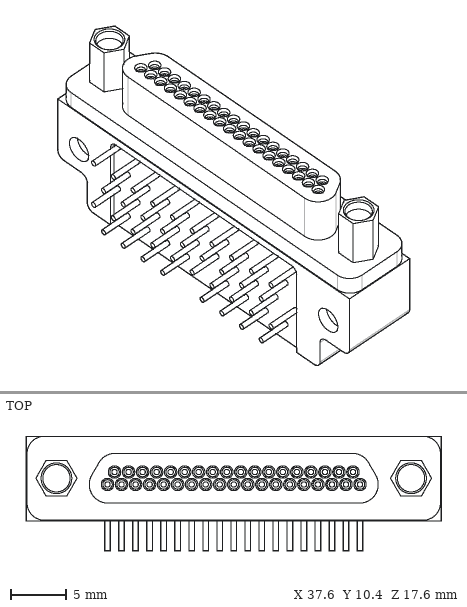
import cadquery as cq
import math

HOUSING_LENGTH = 37.6
HOUSING_TOP = 11.05
HOUSING_BACK = 3.8
HOUSING_FRONT = -3.87
LOWER_LENGTH = 30.0
EAR_BOTTOM = 4.0
HOUSING_RADIUS = 0.8

RECESS_LENGTH = 23.95
RECESS_TOP = 10.25
RECESS_DEPTH = 0.45
RECESS_RADIUS = 0.68

MOUNT_SPACING = 32.1
MOUNT_HOLE_DIAMETER = 2.48
MOUNT_HOLE_HEIGHT = 6.6
MOUNT_HOLE_DEPTH = 1.0

FLANGE_LENGTH = 37.45
FLANGE_WIDTH = 2 * HOUSING_BACK
FLANGE_TOP = 12.85
FLANGE_RADIUS = 1.58

SHELL_TOP = 17.55
SHELL_WIDTH = 4.5
SHELL_LENGTH = 26.15
SHELL_RADIUS = 1.7
SHELL_END_ANGLE = 30

SOCKET_ROW_LENGTH = 22.85
SOCKET_ROW_SPACING = 1.13
FRONT_SOCKETS = 19
SOCKET_PITCH = SOCKET_ROW_LENGTH / (FRONT_SOCKETS - 1)
SOCKET_DIAMETER = 0.85
SOCKET_CHAMFER_WIDTH = 0.13
SOCKET_CHAMFER_DEPTH = 0.3
SOCKET_DEPTH = 0.6
CONTACT_DIAMETER = 0.5
CONTACT_DEPTH = 1.0

STANDOFF_TOP = 17.65
STANDOFF_FLATS = 3.25
STANDOFF_HOLE_DIAMETER = 2.48
STANDOFF_HOLE_DEPTH = 1.0
STANDOFF_CHAMFER = 0.15

PIN_PITCH = 2 * SOCKET_PITCH
PIN_DIAMETER = 0.53
PIN_TIP = -6.58
PIN_TOP_ROW = 9.65
PIN_ROWS = 4
PINS_PER_LONG_ROW = 10

HOUSING_DEPTH = HOUSING_BACK - HOUSING_FRONT
RECESS_FACE = HOUSING_FRONT + RECESS_DEPTH
MOUNT_POSITIONS = (-MOUNT_SPACING / 2, MOUNT_SPACING / 2)


def centered_row(count, pitch):
    """Positions of count items spaced evenly about zero."""
    return [(i - (count - 1) / 2) * pitch for i in range(count)]


def front_plane(y):
    """Sketch plane at the given Y, facing -Y, with sketch axes X and Z."""
    return cq.Workplane("XZ", origin=(0, y, 0))


def top_plane(z):
    """Sketch plane at the given Z, facing up, with sketch axes X and Y."""
    return cq.Workplane("XY", origin=(0, 0, z))


def make_housing():
    upper = (
        front_plane(HOUSING_BACK)
        .center(0, (HOUSING_TOP + EAR_BOTTOM) / 2)
        .rect(HOUSING_LENGTH, HOUSING_TOP - EAR_BOTTOM)
        .extrude(HOUSING_DEPTH)
    )
    lower = (
        front_plane(HOUSING_BACK)
        .center(0, HOUSING_TOP / 2)
        .rect(LOWER_LENGTH, HOUSING_TOP)
        .extrude(HOUSING_DEPTH)
    )
    return upper.union(lower).edges("|Y and (not >Z)").fillet(HOUSING_RADIUS)


def make_recess():
    block = (
        front_plane(RECESS_FACE)
        .rect(RECESS_LENGTH, 2 * RECESS_TOP)
        .extrude(RECESS_DEPTH)
    )
    return block.edges("|Y and >Z").fillet(RECESS_RADIUS)


def make_mount_holes():
    return (
        front_plane(HOUSING_FRONT + MOUNT_HOLE_DEPTH)
        .pushPoints([(x, MOUNT_HOLE_HEIGHT) for x in MOUNT_POSITIONS])
        .circle(MOUNT_HOLE_DIAMETER / 2)
        .extrude(MOUNT_HOLE_DEPTH)
    )


def make_flange():
    plate = (
        top_plane(HOUSING_TOP)
        .rect(FLANGE_LENGTH, FLANGE_WIDTH)
        .extrude(FLANGE_TOP - HOUSING_TOP)
    )
    return plate.edges("|Z").fillet(FLANGE_RADIUS)


def make_shell():
    y_edge = SHELL_WIDTH / 2
    x_front_center = SHELL_LENGTH / 2 - SHELL_RADIUS
    lean = math.radians(SHELL_END_ANGLE)
    x_at_arc_center = x_front_center + SHELL_RADIUS / math.cos(lean)
    x_front = x_at_arc_center + SHELL_RADIUS * math.tan(lean)
    x_back = x_at_arc_center - (SHELL_WIDTH - SHELL_RADIUS) * math.tan(lean)
    shell = (
        top_plane(FLANGE_TOP)
        .polyline([(-x_front, -y_edge), (x_front, -y_edge), (x_back, y_edge), (-x_back, y_edge)])
        .close()
        .extrude(SHELL_TOP - FLANGE_TOP)
    )
    return shell.edges("|Z").fillet(SHELL_RADIUS)


def make_socket_cutter():
    """Chamfered counterbore with a narrower contact bore, mouth at Z = 0."""
    r_contact = CONTACT_DIAMETER / 2
    r_socket = SOCKET_DIAMETER / 2
    profile = [
        (0, 0),
        (r_socket + SOCKET_CHAMFER_WIDTH, 0),
        (r_socket, -SOCKET_CHAMFER_DEPTH),
        (r_socket, -SOCKET_DEPTH),
        (r_contact, -SOCKET_DEPTH),
        (r_contact, -CONTACT_DEPTH),
        (0, -CONTACT_DEPTH),
    ]
    return cq.Workplane("XZ").polyline(profile).close().revolve(360, (0, 0), (0, 1)).val()


def make_sockets():
    cutter = make_socket_cutter()
    front = [(x, -SOCKET_ROW_SPACING / 2) for x in centered_row(FRONT_SOCKETS, SOCKET_PITCH)]
    back = [(x, SOCKET_ROW_SPACING / 2) for x in centered_row(FRONT_SOCKETS - 1, SOCKET_PITCH)]
    return top_plane(SHELL_TOP).pushPoints(front + back).eachpoint(lambda place: cutter.moved(place))


def make_standoffs():
    places = [(x, 0) for x in MOUNT_POSITIONS]
    corner_diameter = STANDOFF_FLATS / math.cos(math.pi / 6)
    posts = (
        top_plane(FLANGE_TOP)
        .pushPoints(places)
        .polygon(6, corner_diameter)
        .extrude(STANDOFF_TOP - FLANGE_TOP)
    )
    holes = (
        top_plane(STANDOFF_TOP - STANDOFF_HOLE_DEPTH)
        .pushPoints(places)
        .circle(STANDOFF_HOLE_DIAMETER / 2)
        .extrude(STANDOFF_HOLE_DEPTH)
    )
    return posts.cut(holes).faces(">Z").edges("%CIRCLE").chamfer(STANDOFF_CHAMFER)


def make_pins():
    points = []
    for row in range(PIN_ROWS):
        z = PIN_TOP_ROW - row * PIN_PITCH
        count = PINS_PER_LONG_ROW - row % 2
        points += [(x, z) for x in centered_row(count, PIN_PITCH)]
    bottom_middle = (0, PIN_TOP_ROW - (PIN_ROWS - 1) * PIN_PITCH)
    points.remove(bottom_middle)
    return (
        front_plane(RECESS_FACE)
        .pushPoints(points)
        .circle(PIN_DIAMETER / 2)
        .extrude(RECESS_FACE - PIN_TIP)
    )


housing = make_housing().cut(make_recess()).cut(make_mount_holes())
shell = make_shell().cut(make_sockets())
result = housing.union(make_flange()).union(shell).union(make_standoffs()).union(make_pins())